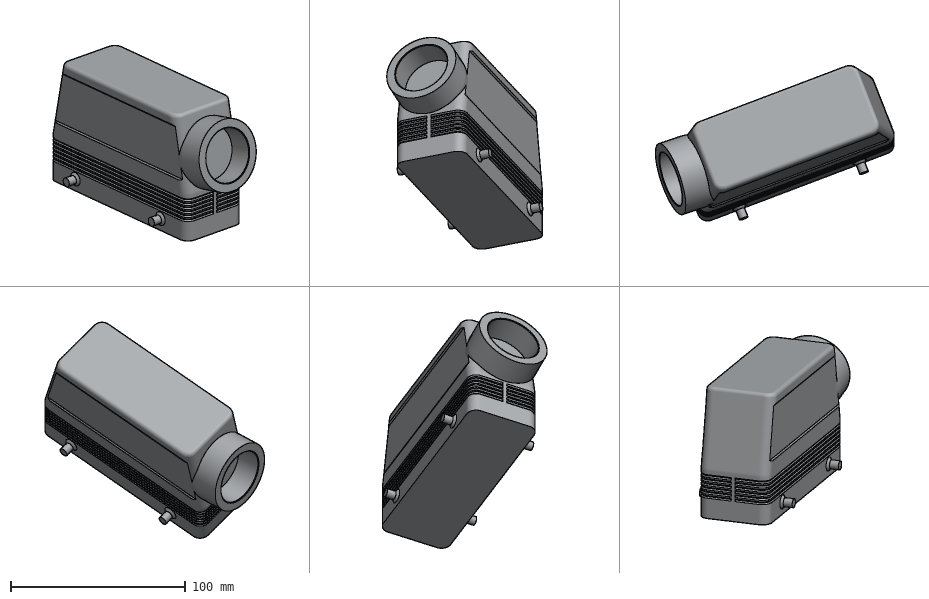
import cadquery as cq
import math

body_length = 120.1
body_width = 43.0
body_height = 76.0
shoulder_height = 29.3
wall_lean = 11.5
shoulder_radius = 6.1
corner_radius = 6.0
top_radius = 2.3

panel_depth = 0.8
panel_bottom = 38.0
panel_top = 69.0
panel_border = 1.0

groove_count = 6
groove_span = 12.6
groove_pitch = groove_span / (groove_count - 1)
groove_width = 1.6
groove_depth = 0.7
lowest_groove_height = 13.1
groove_gap = 2.6

peg_span = 57.0
peg_diameter = 5.3
peg_collar_diameter = 8.2
peg_collar_height = 1.5
peg_height = 7.5
peg_places = (23.0, 97.0)

overall_length = 135.2
nozzle_diameter = body_width
nozzle_rise = 20.2
root_length = 9.5
root_taper = 8.4
bore_diameter = 33.0
bore_chamfer = 0.4

lean = math.radians(wall_lean)
half_width = body_width / 2
wall_inset = (body_height - shoulder_height) * math.tan(lean)

nozzle_radius = nozzle_diameter / 2
nozzle_base_x = body_length - nozzle_rise * math.sin(lean)
nozzle_base_z = shoulder_height + nozzle_rise * math.cos(lean)
nozzle_length = (overall_length - nozzle_base_x - nozzle_radius * math.sin(lean)) / math.cos(lean)
nozzle_plane = cq.Plane(
    origin=(nozzle_base_x, 0, nozzle_base_z),
    xDir=(0, 1, 0),
    normal=(math.cos(lean), 0, math.sin(lean)),
)


def make_body():
    outline = [
        (0, 0),
        (body_length, 0),
        (body_length, shoulder_height),
        (body_length - wall_inset, body_height),
        (wall_inset, body_height),
        (0, shoulder_height),
    ]
    block = cq.Workplane("XZ").polyline(outline).close().extrude(half_width, both=True)
    block = block.edges("|Y").edges(">>Z[1]").fillet(shoulder_radius)
    block = block.edges("not(|X or |Y)").fillet(corner_radius)
    return block.faces(">Z").edges().fillet(top_radius)


def make_panel_cutter():
    panel_face = half_width - panel_depth
    profile = [
        (half_width, panel_bottom - panel_border),
        (half_width, panel_top + panel_border),
        (panel_face, panel_top),
        (panel_face, panel_bottom),
    ]
    cutter = cq.Workplane("YZ").polyline(profile).close().extrude(body_length)
    return cutter.union(cutter.mirror("XZ"))


def make_groove_cutter():
    """V-groove ring centred on the XY plane, with a gap at the middle of each end."""

    def section(inset):
        plan = cq.Sketch().rect(body_length - 2 * inset, body_width - 2 * inset)
        return plan.vertices().fillet(corner_radius - inset)

    half_groove = groove_width / 2
    mouth = section(0).moved(cq.Location((0, 0, half_groove)))
    upper_core = cq.Workplane("XY").placeSketch(section(groove_depth), mouth).loft()
    ring = cq.Workplane("XY").box(body_length, body_width, groove_width)
    ring = ring.cut(upper_core).cut(upper_core.mirror("XY"))
    ring = ring.cut(cq.Workplane("XY").box(body_length, groove_gap, groove_width))
    return ring.translate((body_length / 2, 0, 0))


def make_peg(x):
    peg_radius = peg_diameter / 2
    collar_radius = peg_collar_diameter / 2
    collar_end = half_width + peg_collar_height
    profile = [
        (0, 0),
        (collar_radius, 0),
        (collar_radius, half_width),
        (peg_radius, collar_end),
        (peg_radius, peg_span / 2),
        (0, peg_span / 2),
    ]
    peg = cq.Workplane("XY").polyline(profile).close().revolve(360, (0, 0), (0, 1))
    peg = peg.union(peg.mirror("XZ"))
    return peg.translate((x, 0, peg_height))


def make_nozzle():
    """Barrel outside the wall plane and a tapering root that runs back into the hood."""
    barrel = cq.Workplane(nozzle_plane).circle(nozzle_radius).extrude(nozzle_length)
    root = cq.Workplane(nozzle_plane).circle(nozzle_radius).extrude(-root_length, taper=root_taper)
    return barrel.union(root)


def make_bore_cutter():
    """Blind bore as deep as the barrel, with a chamfered rim."""
    bore_radius = bore_diameter / 2
    rim_start = nozzle_length - bore_chamfer
    profile = [
        (0, 0),
        (bore_radius - bore_chamfer, 0),
        (bore_radius - bore_chamfer, rim_start),
        (bore_radius, nozzle_length),
        (0, nozzle_length),
    ]
    axial_plane = cq.Plane(
        origin=nozzle_plane.origin,
        xDir=(0, 1, 0),
        normal=nozzle_plane.yDir.multiply(-1).toTuple(),
    )
    return cq.Workplane(axial_plane).polyline(profile).close().revolve(360, (0, 0), (0, 1))


result = make_body().cut(make_panel_cutter())

groove_cutter = make_groove_cutter()
for index in range(groove_count):
    result = result.cut(groove_cutter.translate((0, 0, lowest_groove_height + index * groove_pitch)))

for peg_x in peg_places:
    result = result.union(make_peg(peg_x))

result = result.union(make_nozzle())
result = result.cut(make_bore_cutter())